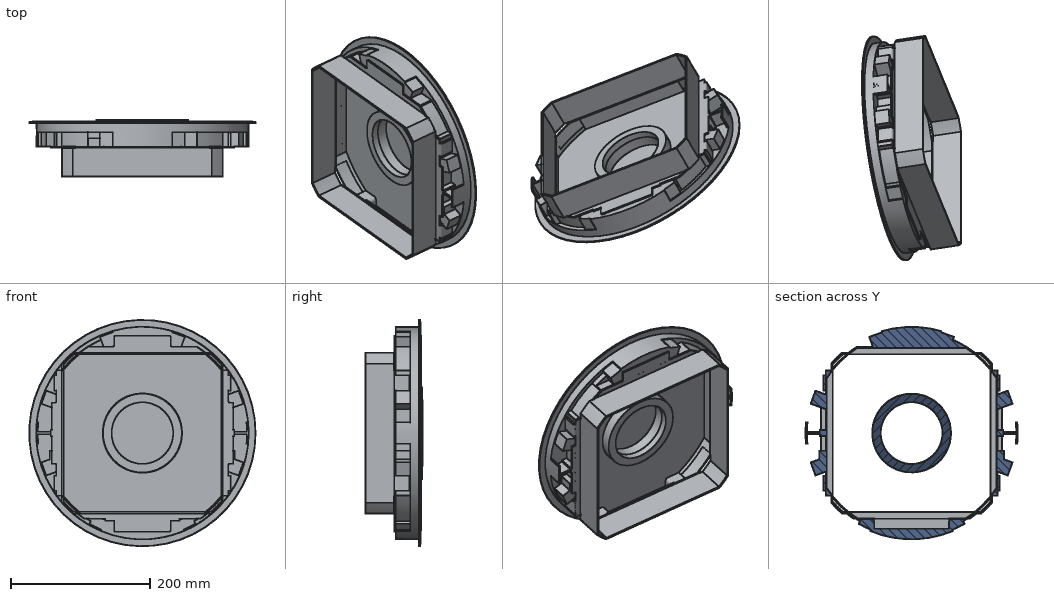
import cadquery as cq
CAP_DEPTH = 2.2
CAP_STEP_DEPTH = 0.6
FLANGE_FRONT = 5.5
FLOOR_FRONT = 13.0
COLLAR_FRONT = 17.5
LEDGE_FRONT = 18.0
HIGH_LEDGE_FRONT = 27.0
SPIGOT_FRONT = 27.5
HOUSING_FRONT = 38.8
PLATE_THICKNESS = 2.0
PLATE_FRONT = HOUSING_FRONT + PLATE_THICKNESS
SLEEVE_FRONT = 82.0

FLANGE_RADIUS = 162.5
FLANGE_BEVEL_RADIUS = 159.0
FLANGE_CROWN_RADIUS = 138.0
FLANGE_EDGE_BACK = 3.6
FLANGE_BEVEL_BACK = 2.9
CAP_RADIUS = 66.0
CAP_STEP_RADIUS = 47.0
SPIGOT_RADIUS = 57.0
SPIGOT_TIP_RADIUS = 56.6
COLLAR_RADIUS = 50.5
BORE_RADIUS = 44.2

HOUSING_RADIUS = 152.5
WALL_RADIUS = 146.5
CAVITY_RADIUS = 145.0
SIDE_FACE_X = 123.5
SIDE_FACE_HALF = 90.0
TOP_FACE_Z = 124.0
BOTTOM_FACE_Z = -122.8
CAVITY_HALF_X = 121.5
CAVITY_TOP_Z = 122.0
CAVITY_BOTTOM_Z = -123.0
POCKET_HALF_X = 53.5
POCKET_BOTTOM_Z = -137.0
POCKET_FILLET = 5.0

BLOCK_WIDTH = 20.0
BLOCK_REACH = 150.5
BLOCK_ROOT = 115.0
BLOCK_ANGLE = 20.0
BOTTOM_BLOCK_ANGLE = 26.5
TOP_ARC_HALF = 42.7
BOTTOM_ARC_HALF = 59.0
HIGH_LEDGE_START = 50.0
HIGH_LEDGE_END = 79.0

PAD_X = 132.6
PAD_TOP = -25.0
PAD_BOTTOM = -40.0
BUMP_X = 131.8
BUMP_HALF = 4.5
RIB_THICKNESS = 3.2
RIM_HALF = 15.5
RIM_THICKNESS = 2.5

SLEEVE_HALF = 115.4
SLEEVE_WALL = 2.5
SLEEVE_INNER_HALF = SLEEVE_HALF - SLEEVE_WALL

TAB_HALF = 40.6
TOP_TAB_Z = 139.6
BOTTOM_TAB_Z = -141.4
BOTTOM_SHOULDER_HALF = 53.3
BOTTOM_SHOULDER_Z = -125.5
BOTTOM_PLATE_RADIUS = 148.3
TAB_FILLET = 2.0
SIDE_TAB_X = 130.0
SIDE_TAB_HALF = 43.7
LEG_X = 126.8
LEG_BACK = 19.2
LEG_LOW_Z = 61.0
LEG_HIGH_Z = 83.0
LEG_FILLET = 3.2

SELECT_MARGIN = 1.0


def disc(radius, back, front):
    return cq.Workplane("XZ", origin=(0, -back, 0)).circle(radius).extrude(front - back)


def block(x_low, x_high, z_low, z_high, back, front):
    size = (x_high - x_low, front - back, z_high - z_low)
    return cq.Workplane("XY").box(*size, centered=False).translate((x_low, -front, z_low))


def mirrored_in_x(body):
    return body.mirror("YZ")


def mirrored_in_z(body):
    return body.mirror("XY")


def fillet_edges_along_y(body, x_low, x_high, z_low, z_high, back, front, radius):
    """Round the edges parallel to Y whose centres lie in the given region."""
    region = cq.selectors.BoxSelector(
        (x_low - SELECT_MARGIN, -front, z_low - SELECT_MARGIN),
        (x_high + SELECT_MARGIN, -back, z_high + SELECT_MARGIN),
    )
    return body.edges("|Y").edges(region).fillet(radius)


def radial_block(angle):
    """Straight-sided block on the ledge, pointing away from the axis at an angle from +X."""
    half = BLOCK_WIDTH / 2
    straight = block(BLOCK_ROOT, BLOCK_REACH, -half, half, LEDGE_FRONT, HOUSING_FRONT)
    return straight.rotate((0, 0, 0), (0, 1, 0), -angle)


def make_flange():
    profile = [
        (0, -CAP_DEPTH),
        (FLANGE_CROWN_RADIUS, -CAP_DEPTH),
        (FLANGE_BEVEL_RADIUS, -FLANGE_BEVEL_BACK),
        (FLANGE_RADIUS, -FLANGE_EDGE_BACK),
        (FLANGE_RADIUS, -FLANGE_FRONT),
        (0, -FLANGE_FRONT),
    ]
    flange = cq.Workplane("XY").polyline(profile).close().revolve(360, (0, 0, 0), (0, 1, 0))
    return flange.cut(disc(COLLAR_RADIUS, CAP_DEPTH, FLANGE_FRONT))


def make_cap():
    """Stepped disc with a collar that passes through the flange and the housing floor."""
    step = disc(CAP_STEP_RADIUS, 0, CAP_STEP_DEPTH)
    cover = disc(CAP_RADIUS, CAP_STEP_DEPTH, CAP_DEPTH)
    collar = disc(COLLAR_RADIUS, CAP_DEPTH, COLLAR_FRONT).cut(disc(BORE_RADIUS, CAP_DEPTH, COLLAR_FRONT))
    return step.union(cover).union(collar)


def make_spigot():
    """Slightly tapered tube on the housing floor, counterbored for the collar."""
    profile = [
        (COLLAR_RADIUS, -FLOOR_FRONT),
        (SPIGOT_RADIUS, -FLOOR_FRONT),
        (SPIGOT_TIP_RADIUS, -SPIGOT_FRONT),
        (BORE_RADIUS, -SPIGOT_FRONT),
        (BORE_RADIUS, -COLLAR_FRONT),
        (COLLAR_RADIUS, -COLLAR_FRONT),
    ]
    return cq.Workplane("XY").polyline(profile).close().revolve(360, (0, 0, 0), (0, 1, 0))


def housing_core():
    """Round wall with flat faces; the cavity is cut from it later."""
    span = (LEDGE_FRONT, HOUSING_FRONT)
    flats = block(-SIDE_FACE_X, SIDE_FACE_X, -WALL_RADIUS, TOP_FACE_Z, *span)
    sides = block(-SIDE_FACE_X, SIDE_FACE_X, -SIDE_FACE_HALF, SIDE_FACE_HALF, *span)
    return disc(WALL_RADIUS, *span).intersect(flats).union(sides)


def housing_top():
    arc = block(
        -TOP_ARC_HALF, TOP_ARC_HALF, BLOCK_ROOT, HOUSING_RADIUS, LEDGE_FRONT, HOUSING_FRONT
    )
    high_ledge = block(
        -HIGH_LEDGE_END, -HIGH_LEDGE_START, BLOCK_ROOT, HOUSING_RADIUS, LEDGE_FRONT, HIGH_LEDGE_FRONT
    ).intersect(disc(WALL_RADIUS, LEDGE_FRONT, HIGH_LEDGE_FRONT))
    return arc.union(high_ledge)


def housing_bottom():
    return block(
        -BOTTOM_ARC_HALF, BOTTOM_ARC_HALF, -HOUSING_RADIUS, BOTTOM_FACE_Z, LEDGE_FRONT, HOUSING_FRONT
    )


def housing_right_side():
    """Pad, bump and rib behind a short piece of full-height rim."""
    span = (LEDGE_FRONT, HOUSING_FRONT)
    rim = block(BLOCK_ROOT, HOUSING_RADIUS, -RIM_HALF, RIM_HALF, *span).cut(
        disc(HOUSING_RADIUS - RIM_THICKNESS, *span)
    )
    rib = block(BLOCK_ROOT, BLOCK_REACH, -RIB_THICKNESS / 2, RIB_THICKNESS / 2, *span)
    bump = block(BLOCK_ROOT, BUMP_X, -BUMP_HALF, BUMP_HALF, *span)
    pad = block(BLOCK_ROOT, PAD_X, PAD_BOTTOM, PAD_TOP, *span)
    return pad.union(bump).union(rib).union(rim)


def housing_cavity():
    cavity = disc(CAVITY_RADIUS, FLOOR_FRONT, HOUSING_FRONT).intersect(
        block(-CAVITY_HALF_X, CAVITY_HALF_X, CAVITY_BOTTOM_Z, CAVITY_TOP_Z, FLOOR_FRONT, HOUSING_FRONT)
    )
    pocket = block(
        -POCKET_HALF_X, POCKET_HALF_X, POCKET_BOTTOM_Z, CAVITY_BOTTOM_Z, FLOOR_FRONT, HIGH_LEDGE_FRONT
    )
    return cavity.union(pocket)


def make_housing():
    housing = housing_core().union(housing_top()).union(housing_bottom())
    housing = housing.union(housing_right_side()).union(mirrored_in_x(housing_right_side()))
    block_angles = [270 - BOTTOM_BLOCK_ANGLE, 270 + BOTTOM_BLOCK_ANGLE]
    for axis_angle in (0, 90, 180):
        block_angles += [axis_angle - BLOCK_ANGLE, axis_angle + BLOCK_ANGLE]
    for angle in block_angles:
        housing = housing.union(radial_block(angle))
    housing = housing.intersect(disc(HOUSING_RADIUS, LEDGE_FRONT, HOUSING_FRONT))
    housing = housing.union(disc(HOUSING_RADIUS, FLANGE_FRONT, LEDGE_FRONT))
    housing = housing.cut(housing_cavity())
    housing = fillet_edges_along_y(
        housing, -POCKET_HALF_X, POCKET_HALF_X, CAVITY_BOTTOM_Z, CAVITY_BOTTOM_Z,
        FLOOR_FRONT, HIGH_LEDGE_FRONT, POCKET_FILLET,
    )
    return housing.cut(disc(COLLAR_RADIUS, FLANGE_FRONT, FLOOR_FRONT))


def rounded_square(half, radius):
    return block(-half, half, -half, half, PLATE_FRONT, SLEEVE_FRONT).intersect(
        disc(radius, PLATE_FRONT, SLEEVE_FRONT)
    )


def make_sleeve():
    outer = rounded_square(SLEEVE_HALF, HOUSING_RADIUS)
    return outer.cut(rounded_square(SLEEVE_INNER_HALF, HOUSING_RADIUS - SLEEVE_WALL))


def make_top_plate():
    span = (HOUSING_FRONT, PLATE_FRONT)
    strip = block(-WALL_RADIUS, WALL_RADIUS, SLEEVE_INNER_HALF, TOP_FACE_Z, *span)
    tab = block(-TAB_HALF, TAB_HALF, SLEEVE_INNER_HALF, TOP_TAB_Z, *span)
    plate = strip.intersect(disc(WALL_RADIUS, *span)).union(tab)
    return fillet_edges_along_y(plate, -TAB_HALF, TAB_HALF, TOP_FACE_Z, TOP_TAB_Z, *span, TAB_FILLET)


def make_bottom_plate():
    span = (HOUSING_FRONT, PLATE_FRONT)
    strip = block(
        -BOTTOM_PLATE_RADIUS, BOTTOM_PLATE_RADIUS, BOTTOM_FACE_Z, -SLEEVE_INNER_HALF, *span
    )
    shoulder = block(
        -BOTTOM_SHOULDER_HALF, BOTTOM_SHOULDER_HALF, BOTTOM_SHOULDER_Z, -SLEEVE_INNER_HALF, *span
    )
    tab = block(-TAB_HALF, TAB_HALF, BOTTOM_TAB_Z, -SLEEVE_INNER_HALF, *span)
    tab = tab.edges("|Y and <Z").fillet(TAB_FILLET)
    return strip.intersect(disc(BOTTOM_PLATE_RADIUS, *span)).union(shoulder).union(tab)


def plate_leg():
    """Leg bent back from a side plate, rounded at the bend."""
    leg = block(SIDE_FACE_X, LEG_X, LEG_LOW_Z, LEG_HIGH_Z, LEG_BACK, PLATE_FRONT)
    return leg.edges(">X and <Y").fillet(LEG_FILLET)


def make_right_plate():
    span = (HOUSING_FRONT, PLATE_FRONT)
    plate = block(SLEEVE_INNER_HALF, SIDE_FACE_X, -SIDE_FACE_HALF, SIDE_FACE_HALF, *span)
    tab = block(SLEEVE_INNER_HALF, SIDE_TAB_X, -SIDE_TAB_HALF, SIDE_TAB_HALF, *span)
    bump = block(SLEEVE_INNER_HALF, BUMP_X, -BUMP_HALF, BUMP_HALF, *span)
    plate = fillet_edges_along_y(
        plate.union(tab), SIDE_FACE_X, SIDE_FACE_X, -SIDE_TAB_HALF, SIDE_TAB_HALF, *span, TAB_FILLET
    )
    plate = plate.union(bump).intersect(disc(HOUSING_RADIUS, *span))
    return plate.union(plate_leg()).union(mirrored_in_z(plate_leg()))


flange = make_flange()
cap = make_cap()
spigot = make_spigot()
housing = make_housing()
sleeve = make_sleeve()
top_plate = make_top_plate()
bottom_plate = make_bottom_plate()
right_plate = make_right_plate()
left_plate = mirrored_in_x(right_plate)

bodies = [flange, cap, spigot, housing, sleeve, top_plate, bottom_plate, right_plate, left_plate]
result = cq.Compound.makeCompound([body.val() for body in bodies])